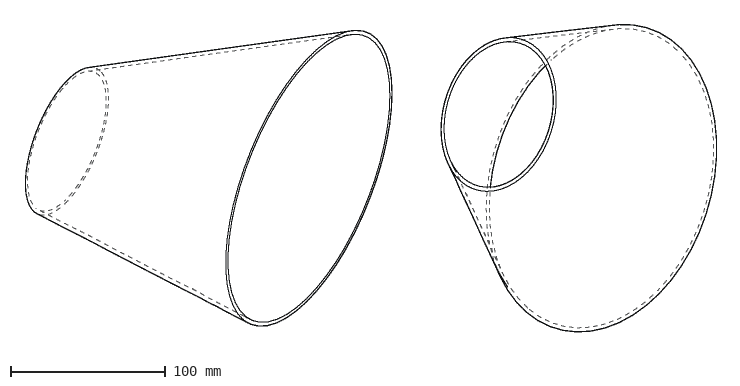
import cadquery as cq

length = 152.5
large_diameter = 203
small_diameter = 101.5
wall = 2.75

large_radius = large_diameter / 2
small_radius = small_diameter / 2


def eccentric_cone(inset):
    """Solid cone between the two end circles, each reduced in radius by the inset."""
    return (
        cq.Workplane("YZ")
        .center(small_radius, 0)
        .circle(small_radius - inset)
        .workplane(offset=length)
        .center(large_radius - small_radius, 0)
        .circle(large_radius - inset)
        .loft(ruled=True)
    )


outer_body = eccentric_cone(0)
bore = eccentric_cone(wall)
result = outer_body.cut(bore)